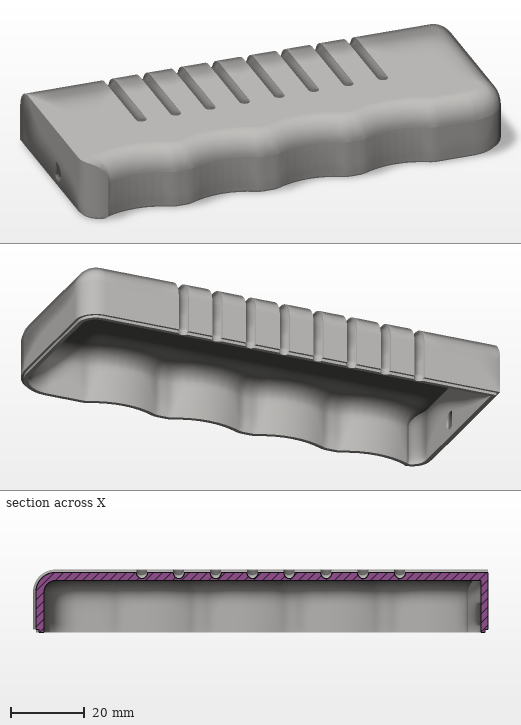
import cadquery as cq
import math

width = 51.0
length = 123.0
height = 17.0
wall = 2.0

edge_radius = 6.0
back_right_radius = 11.0
front_right_radius = 6.0
tail = 9.8

scallop_count = 4
scallop_pitch = 25.0
first_scallop_y = 15.4
scallop_radius = 20.0
scallop_depth = 2.6
ridge_radius = 6.2
flare_radius = 1.0
flare_start = 8.4

groove_count = 8
groove_pitch = 10.0
first_groove_y = 23.9
groove_radius = 1.5
groove_end_x = 29.5

lip_height = 0.7
lip_inset = 0.7

hole_x = 28.9
hole_z = 4.9
hole_radius = 2.6
outer_flat_offset = 1.8
inner_flat_offset = 1.1

scallop_centre_x = width - scallop_depth + scallop_radius
ridge_centre_x = width - ridge_radius
blend_angle = math.acos((scallop_centre_x - ridge_centre_x) / (scallop_radius + ridge_radius))
ridge_reach = (scallop_radius + ridge_radius) * math.sin(blend_angle)


def on_scallop(centre_y, angle):
    """Point on a scallop arc; angle is measured from its deepest point toward +Y."""
    return (
        scallop_centre_x - scallop_radius * math.cos(angle),
        centre_y + scallop_radius * math.sin(angle),
    )


def on_ridge(centre_y, angle):
    """Point on a ridge arc; angle is measured from the +X direction toward +Y."""
    return (
        ridge_centre_x + ridge_radius * math.cos(angle),
        centre_y + ridge_radius * math.sin(angle),
    )


def grip_outline():
    """Plan outline, overrunning the front end and the front right corner."""
    front_angle = -math.asin(flare_start / scallop_radius)
    scallop_end = on_scallop(first_scallop_y, front_angle)
    flare_end = (
        scallop_end[0] + flare_radius * math.cos(front_angle),
        scallop_end[1] - flare_radius * (1 + math.sin(front_angle)),
    )

    outline = (
        cq.Workplane("XY")
        .moveTo(0, -tail)
        .lineTo(width + tail, -tail)
        .lineTo(width + tail, flare_end[1])
        .lineTo(*flare_end)
        .radiusArc(scallop_end, flare_radius)
    )
    for index in range(scallop_count):
        centre_y = first_scallop_y + index * scallop_pitch
        start_angle = front_angle if index == 0 else -blend_angle
        if index > 0:
            lower_ridge_y = centre_y - ridge_reach
            outline = outline.lineTo(width, lower_ridge_y).threePointArc(
                on_ridge(lower_ridge_y, blend_angle / 2),
                on_ridge(lower_ridge_y, blend_angle),
            )
        upper_ridge_y = centre_y + ridge_reach
        outline = outline.threePointArc(
            on_scallop(centre_y, (start_angle + blend_angle) / 2),
            on_scallop(centre_y, blend_angle),
        ).threePointArc(
            on_ridge(upper_ridge_y, -blend_angle / 2),
            on_ridge(upper_ridge_y, 0),
        )
    return (
        outline.lineTo(width, length - back_right_radius)
        .radiusArc((width - back_right_radius, length), -back_right_radius)
        .lineTo(edge_radius, length)
        .radiusArc((0, length - edge_radius), -edge_radius)
        .close()
    )


def grip_block(inset, bottom):
    """Solid grip with every outer surface but the bottom moved inward by the inset."""
    outline = grip_outline()
    if inset > 0:
        outline = outline.offset2D(-inset)
    block = outline.extrude(height - inset - bottom)
    block = block.faces(">Z").edges("not <Y").fillet(edge_radius - inset)
    block = block.translate((0, 0, bottom))

    envelope = (
        cq.Workplane("XY")
        .box(width - 2 * inset, length - 2 * inset, height, centered=False)
        .edges("|Z and >X and <Y")
        .fillet(front_right_radius - inset)
        .translate((inset, inset, 0))
    )
    return block.intersect(envelope)


def groove_cutter(groove_y):
    """Round bar running up the -X side, around the upper edge and across the top."""
    path = (
        cq.Workplane("XZ", origin=(0, groove_y, 0))
        .lineTo(0, height - edge_radius)
        .radiusArc((edge_radius, height), edge_radius)
        .lineTo(groove_end_x, height)
    )
    bar = cq.Workplane("XY", origin=(0, groove_y, 0)).circle(groove_radius).sweep(path)
    rounded_end = cq.Workplane("XY").sphere(groove_radius).translate((groove_end_x, groove_y, height))
    return bar.union(rounded_end)


def hole_cutter(flat_offset, depth):
    """Round bar from the front end with a flat on its -X side."""
    bar = cq.Workplane("XZ", origin=(hole_x, 0, hole_z)).circle(hole_radius).extrude(-depth)
    keep = cq.Workplane("XY").box(
        flat_offset + hole_radius, depth, 2 * hole_radius, centered=(False, False, True)
    )
    return bar.intersect(keep.translate((hole_x - flat_offset, 0, hole_z)))


result = grip_block(0, lip_height).union(grip_block(lip_inset, 0))

for groove_index in range(groove_count):
    result = result.cut(groove_cutter(first_groove_y + groove_index * groove_pitch))

result = result.cut(grip_block(wall, 0))

result = result.cut(hole_cutter(outer_flat_offset, wall / 2))
result = result.cut(hole_cutter(inner_flat_offset, wall))